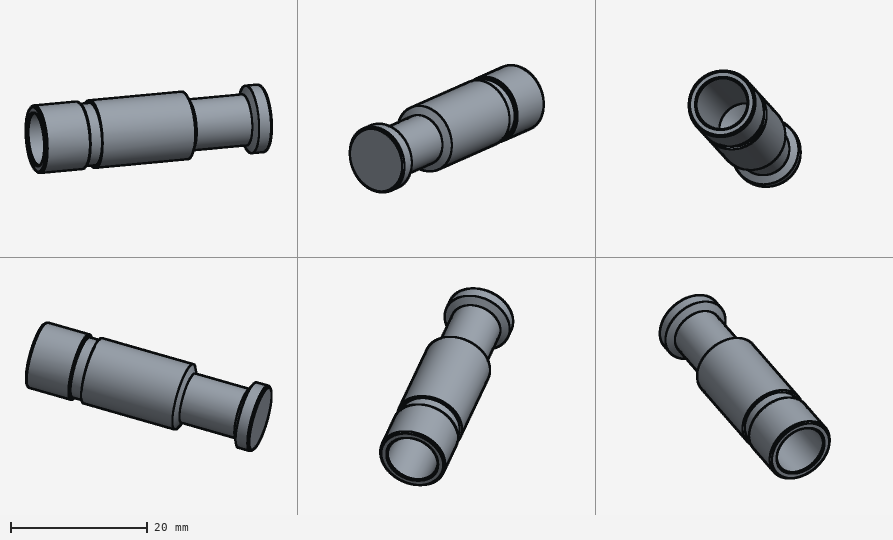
import cadquery as cq
import math

length = 35
outer_radius = 5.0
end_chamfer = 0.25

groove_start = 6.75
groove_end = 8.75
groove_radius = 4.62
lip_chamfer = 0.2
lip_edge_radius = outer_radius - lip_chamfer

neck_radius = 3.78
body_end = 23.03
head_start = 32.95
cone_length = 0.65

bore_radius = 3.8
bore_depth = 17.5
bore_chamfer = 0.18
drill_point_angle = 118


def turned_body():
    """Revolve the outer half-profile, given as (radius, Y), around the Y axis."""
    profile = [
        (0, 0),
        (outer_radius - end_chamfer, 0),
        (outer_radius, end_chamfer),
        (outer_radius, groove_start),
        (lip_edge_radius, groove_start + lip_chamfer),
        (groove_radius, groove_start + lip_chamfer),
        (groove_radius, groove_end),
        (outer_radius, groove_end),
        (outer_radius, body_end),
        (neck_radius, body_end + cone_length),
        (neck_radius, head_start - cone_length),
        (outer_radius, head_start),
        (outer_radius, length - end_chamfer),
        (outer_radius - end_chamfer, length),
        (0, length),
    ]
    return cq.Workplane("XY").polyline(profile).close().revolve(360, (0, 0), (0, 1))


def bore():
    """Cutting shape of the bore, with its chamfered mouth and conical bottom."""
    point_length = bore_radius / math.tan(math.radians(drill_point_angle / 2))
    profile = [
        (0, 0),
        (bore_radius + bore_chamfer, 0),
        (bore_radius, bore_chamfer),
        (bore_radius, bore_depth),
        (0, bore_depth + point_length),
    ]
    return cq.Workplane("XY").polyline(profile).close().revolve(360, (0, 0), (0, 1))


result = turned_body().cut(bore())